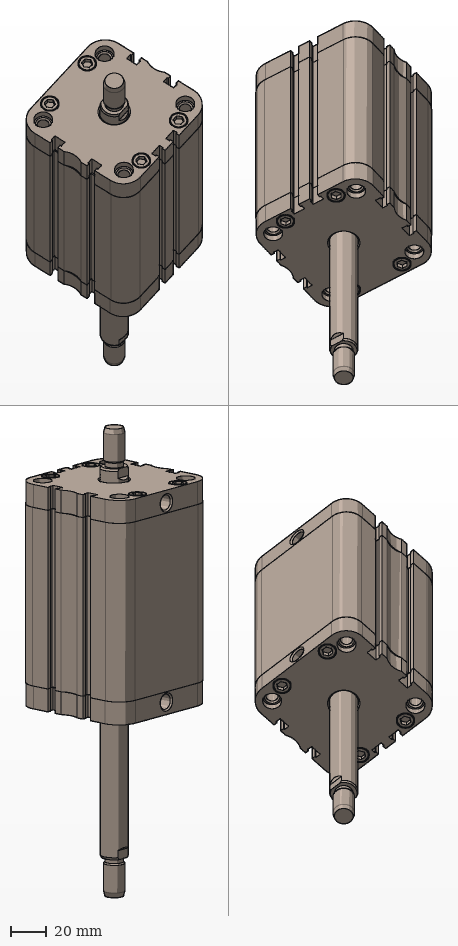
import cadquery as cq

total_length = 269
body_width = 77.0
body_bottom = 110.0
body_length = 128.9
cap_length = 13.2
barrel_corner_radius = 11.5
cap_corner_radius = 12.0

slot_opening = 5.5
slot_inner_width = 7.0
slot_lip = 2.2
slot_depth = 4.5
cap_side_slot_depth = 5.5
side_slot_offset = 13.0
end_slot_offset = 6.5
groove_width = 11.8
barrel_groove_depth = 1.0
cap_groove_depth = 1.5

rod_diameter = 16.0
thread_diameter = 12.0
thread_length = 18.8
tip_diameter = 10.5
tip_chamfer_length = 3.0
neck_diameter = 10.5
shoulder_height = 22.3
shoulder_diameter = 14.8
shoulder_chamfer_length = 1.3
flat_distance = 13.2
flat_length = 5.5

rod_bore_diameter = 16.5
rod_bore_mouth_diameter = 18.0

mount_offset = 28.2
mount_diameter = 6.7
mount_chamfer_diameter = 8.5
mount_recess_diameter = 10.5
mount_recess_depth = 4.0

screw_x = 32.0
screw_y = 17.2
screw_recess_diameter = 10.2
screw_head_diameter = 9.1
screw_groove_depth = 1.0
socket_diameter = 6.2
socket_depth = 2.7

port_diameter = 8.5
port_mouth_diameter = 10.5
port_drop = 7.3
port_depth = 10.8

half_width = body_width / 2
barrel_bottom = body_bottom + cap_length
barrel_length = body_length - 2 * cap_length
barrel_top = barrel_bottom + barrel_length


def slot_cutter(offset, depth, turn, length):
    """T-slot open to the +Y side, then turned about Z."""
    centering = (True, False, False)
    mouth = cq.Workplane("XY").box(slot_opening, depth, length, centered=centering)
    inner = cq.Workplane("XY").box(slot_inner_width, depth - slot_lip, length, centered=centering)
    slot = mouth.union(inner).translate((offset, half_width - depth, 0))
    return slot.rotate((0, 0, 0), (0, 0, 1), turn)


def groove_cutter(depth, turn, length):
    """Shallow round groove along the middle of the +Y side, then turned about Z."""
    radius = ((groove_width / 2) ** 2 + depth**2) / (2 * depth)
    groove = cq.Workplane("XY").center(0, half_width - depth + radius).circle(radius).extrude(length)
    return groove.rotate((0, 0, 0), (0, 0, 1), turn)


def profile_block(length, corner_radius, side_slot_depth, groove_depth, bore_diameter):
    """Block on Z = 0 with the outer profile, its slots and grooves, and the rod bore."""
    block = cq.Workplane("XY").rect(body_width, body_width).extrude(length)
    block = block.edges("|Z").fillet(corner_radius)
    for side_turn in (0, 180):
        block = block.cut(groove_cutter(groove_depth, side_turn, length))
        for sign in (-1, 1):
            block = block.cut(slot_cutter(sign * side_slot_offset, side_slot_depth, side_turn, length))
    for sign in (-1, 1):
        block = block.cut(slot_cutter(sign * end_slot_offset, slot_depth, -90, length))
    return block.cut(cq.Workplane("XY").circle(bore_diameter / 2).extrude(length))


def corner_points(plane, x, y):
    """Four points at (+-x, +-y)."""
    return plane.rect(2 * x, 2 * y, forConstruction=True).vertices()


def make_barrel():
    """Barrel between the caps, with a bore that fits the rod closely."""
    block = profile_block(
        barrel_length, barrel_corner_radius, slot_depth, barrel_groove_depth, rod_diameter
    )
    return block.translate((0, 0, barrel_bottom))


def cut_rod_bore_mouth(cap):
    """45-degree chamfer around the rod bore in the outer face."""
    depth = (rod_bore_mouth_diameter - rod_bore_diameter) / 2
    start = cq.Vector(0, 0, cap_length - depth)
    mouth = cq.Solid.makeCone(rod_bore_diameter / 2, rod_bore_mouth_diameter / 2, depth, pnt=start)
    return cap.cut(cq.Workplane(mouth))


def cut_mounting_holes(cap):
    """Counterbored holes in the four corners, each with a chamfered edge at the recess floor."""
    face = cq.Workplane("XY", origin=(0, 0, cap_length))
    points = corner_points(face, mount_offset, mount_offset)
    cap = cap.cut(points.circle(mount_diameter / 2).extrude(-cap_length))
    cap = cap.cut(points.circle(mount_recess_diameter / 2).extrude(-mount_recess_depth))

    chamfer = (mount_chamfer_diameter - mount_diameter) / 2
    start = cq.Vector(0, 0, cap_length - mount_recess_depth - chamfer)
    cone = cq.Solid.makeCone(mount_diameter / 2, mount_chamfer_diameter / 2, chamfer, pnt=start)
    for x in (-mount_offset, mount_offset):
        for y in (-mount_offset, mount_offset):
            cap = cap.cut(cq.Workplane(cone.translate(cq.Vector(x, y, 0))))
    return cap


def cut_screw_heads(cap):
    """Ring groove and hexagon socket of each flush screw head."""
    face = cq.Workplane("XY", origin=(0, 0, cap_length))
    points = corner_points(face, screw_x, screw_y)
    ring = points.circle(screw_recess_diameter / 2).circle(screw_head_diameter / 2)
    cap = cap.cut(ring.extrude(-screw_groove_depth))

    turned_face = face.transformed(rotate=(0, 0, 90))
    sockets = corner_points(turned_face, screw_y, screw_x).polygon(6, socket_diameter)
    return cap.cut(sockets.extrude(-socket_depth))


def cut_port(cap):
    """Blind air port in the -X side with a 45-degree chamfer."""
    center = cq.Vector(-half_width, 0, cap_length - port_drop)
    inward = cq.Vector(1, 0, 0)
    chamfer = (port_mouth_diameter - port_diameter) / 2
    bore = cq.Solid.makeCylinder(port_diameter / 2, port_depth, center, inward)
    mouth = cq.Solid.makeCone(port_mouth_diameter / 2, port_diameter / 2, chamfer, center, inward)
    return cap.cut(cq.Workplane(bore)).cut(cq.Workplane(mouth))


def make_cap():
    """End cap on Z = 0 with its outer face up."""
    cap = profile_block(
        cap_length, cap_corner_radius, cap_side_slot_depth, cap_groove_depth, rod_bore_diameter
    )
    cap = cut_rod_bore_mouth(cap)
    cap = cut_mounting_holes(cap)
    cap = cut_screw_heads(cap)
    return cut_port(cap)


def flat_cutter():
    """Cutter for the wrench flat on the +X side of the lower rod end, with a 45-degree run-out."""
    flat_x = flat_distance / 2
    outer_x = rod_diameter
    flat_end = shoulder_height + flat_length
    outline = cq.Workplane("XZ").polyline([
        (flat_x, shoulder_height),
        (outer_x, shoulder_height),
        (outer_x, flat_end + outer_x - flat_x),
        (flat_x, flat_end),
    ])
    return outline.close().extrude(rod_diameter / 2, both=True)


def make_rod():
    """Through rod with the same threaded end below and above."""
    neck_chamfer = (thread_diameter - neck_diameter) / 2
    lower_end = [
        (0, 0),
        (tip_diameter / 2, 0),
        (thread_diameter / 2, tip_chamfer_length),
        (thread_diameter / 2, thread_length),
        (neck_diameter / 2, thread_length + neck_chamfer),
        (neck_diameter / 2, shoulder_height),
        (shoulder_diameter / 2, shoulder_height),
        (rod_diameter / 2, shoulder_height + shoulder_chamfer_length),
    ]
    upper_end = [(radius, total_length - height) for radius, height in reversed(lower_end)]
    rod = cq.Workplane("XZ").polyline(lower_end + upper_end).close()
    rod = rod.revolve(360, (0, 0, 0), (0, 1, 0))

    middle = (0, 0, total_length / 2)
    for turn in (0, 180):
        cutter = flat_cutter().rotate((0, 0, 0), (0, 0, 1), turn)
        rod = rod.cut(cutter).cut(cutter.mirror("XY", middle))
    return rod


barrel = make_barrel()
cap = make_cap()
upper_cap = cap.translate((0, 0, barrel_top))
lower_cap = cap.mirror("XY").translate((0, 0, barrel_bottom))
rod = make_rod()

result = cq.Compound.makeCompound([barrel.val(), upper_cap.val(), lower_cap.val(), rod.val()])